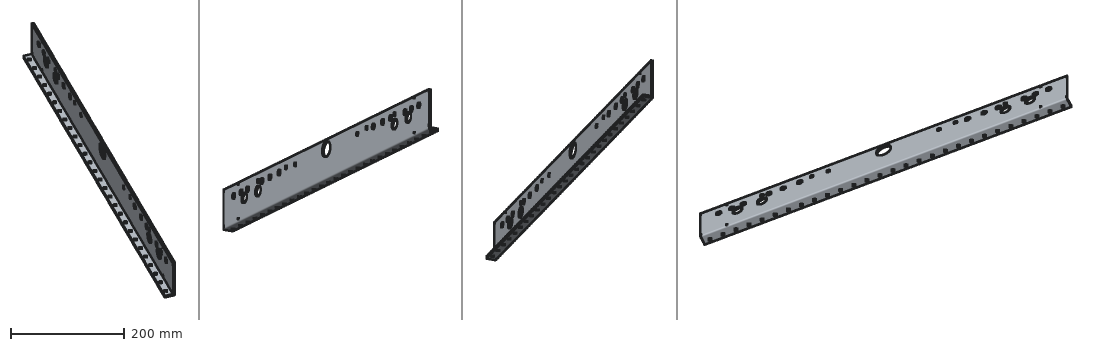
import cadquery as cq

length = 711.0
depth = 19.0
height = 74.0
thickness = 4.0
bend_radius = 3.0

center_diameter = 28.5
large_diameter = 19.0
medium_diameter = 10.0
small_diameter = 6.7
pilot_diameter = 2.55
flange_diameter = 5.3

center_height = 56.0
large_height = 40.5
outer_height = 53.0
inner_height = 55.5
large_holes = [(284.0, large_height), (236.0, large_height)]
medium_holes = [
    (320.0, outer_height),
    (294.5, outer_height),
    (272.5, outer_height),
    (222.5, inner_height),
    (195.0, inner_height),
    (163.0, inner_height),
]
small_holes = [(236.0, 59.0), (139.5, 59.0), (107.5, center_height)]

pilot_offsets = [304.5, length / 2]
pilot_heights = [7.0, 71.0]
pilot_holes = [(x, z) for x in pilot_offsets for z in pilot_heights]

flange_hole_count = 28
flange_row_length = 685.5
flange_hole_inset = 6.5


def make_angle():
    """L-section with a vertical web at the back and a flange toward -Y."""
    web = cq.Workplane("XY").box(length, thickness, height, centered=(True, False, False))
    web = web.translate((0, depth - thickness, 0))
    flange = cq.Workplane("XY").box(length, depth, thickness, centered=(True, False, False))
    return web.union(flange).edges("|X and >Y and <Z").fillet(bend_radius)


def web_cutter(points, diameter):
    """Cylinders along Y that pass through the web."""
    return cq.Workplane("XZ").pushPoints(points).circle(diameter / 2).extrude(-2 * depth)


def mirrored(points):
    """Points on both sides of mid-length."""
    return [(side * x, z) for side in (-1, 1) for x, z in points]


def flange_cutter():
    """Row of cylinders along Z that pass through the flange."""
    pitch = flange_row_length / (flange_hole_count - 1)
    start = -flange_row_length / 2
    points = [(start + i * pitch, flange_hole_inset) for i in range(flange_hole_count)]
    return cq.Workplane("XY").pushPoints(points).circle(flange_diameter / 2).extrude(thickness)


result = make_angle()
result = result.cut(web_cutter([(0, center_height)], center_diameter))
for holes, diameter in (
    (large_holes, large_diameter),
    (medium_holes, medium_diameter),
    (small_holes, small_diameter),
    (pilot_holes, pilot_diameter),
):
    result = result.cut(web_cutter(mirrored(holes), diameter))
result = result.cut(flange_cutter())